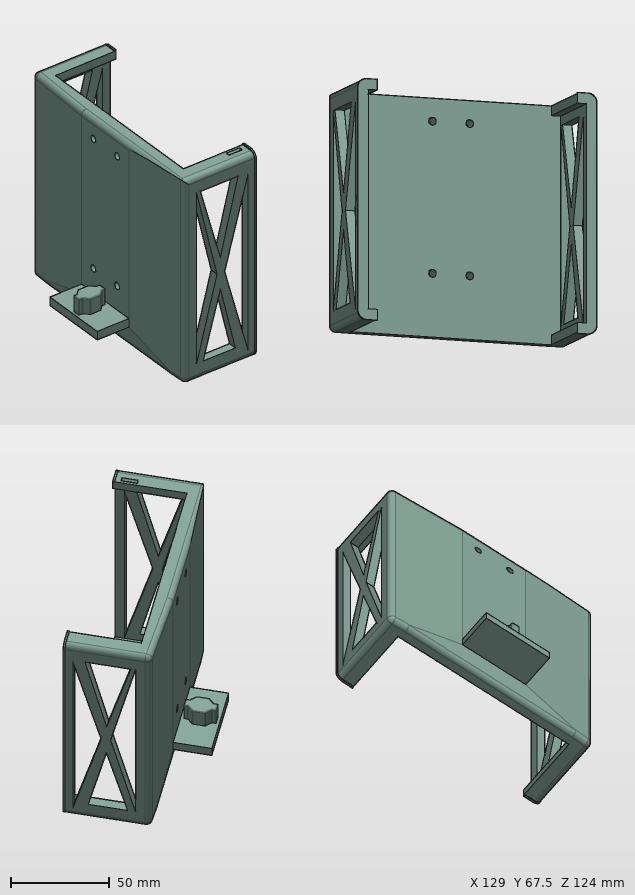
import cadquery as cq

body_width = 128.0
body_height = 123.0
body_depth = 47.5
opening_width = 108.1
opening_depth = 38.5
edge_radius = 3.1

pad_width = 40.0
taper_drop = 2.0
bottom_edge_half_width = 62.0
pad_bottom = 13.0

lip_overhang = 0.5
lip_length = 1.0
lip_corner_radius = 4.6

arm_wall = 5.0
rail_height = 5.0

window_back = 5.0
window_front = 37.5
window_margin = 9.9
window_top = body_height - window_margin
windows = [
    [(window_back, 111.7), (window_back, 5.4), (19.7, 58.7)],
    [(window_front, window_top), (window_front, window_margin), (24.6, 59.1)],
    [(11.4, window_top), (35.1, window_top), (22.6, 68.4)],
    [(13.0, window_margin), (33.4, window_margin), (22.5, 49.1)],
]

plate_length = 20.0
plate_thickness = 5.2
key_height = 9.5
key_half_width = 5.3
key_flat_half_length = 3.2
key_tab_half_width = 2.3
key_half_length = 8.4
key_edge_radius = 0.5

hole_diameter = 4.0
hole_spacing_x = 20.1
hole_spacing_z = 78.3
hole_bottom_z = 32.8

groove_x = 56.6
groove_start = 4.0
groove_length = 8.4
groove_radius = 1.0

half_width = body_width / 2
pad_half_width = pad_width / 2
pad_y = -body_depth
side_y = pad_y + taper_drop
bottom_drop = taper_drop * (bottom_edge_half_width - pad_half_width) / (half_width - pad_half_width)
recess_half_width = half_width - arm_wall
recess_height = body_height - 2 * rail_height
plate_center_y = pad_y - plate_length / 2
plate_top = pad_bottom + plate_thickness


def extrude_outline(right_side_y):
    """Block whose left side tapers back and whose right side ends at the given Y."""
    outline = [
        (-half_width, 0),
        (-half_width, side_y),
        (-pad_half_width, pad_y),
        (pad_half_width, pad_y),
        (half_width, right_side_y),
        (half_width, 0),
    ]
    return cq.Workplane("XY").polyline(outline).close().extrude(body_height)


def make_body():
    """Solid block with the tapered outer face and rounded outer edges."""
    bottom_taper = (
        cq.Workplane("YZ")
        .polyline([(pad_y, pad_bottom), (pad_y + bottom_drop, 0), (pad_y, 0)])
        .close()
        .extrude(half_width, both=True)
    )
    tapered = extrude_outline(side_y).cut(bottom_taper)
    bottom_edges = tapered.faces("<Z").edges("not >Y")
    corner_edges = tapered.edges("|Z").edges("<X or >X").edges("<Y")
    tapered = bottom_edges.add(corner_edges).fillet(edge_radius)

    straight = extrude_outline(pad_y)
    top_edges = straight.faces(">Z").edges("not >Y")
    left_corner_edge = straight.edges("|Z").edges("<X").edges("<Y")
    straight = top_edges.add(left_corner_edge).fillet(edge_radius)
    return tapered.intersect(straight)


def make_lip():
    """Flange around the free end, wider and taller than the body by the overhang."""
    lip_width = body_width + 2 * lip_overhang
    lip_height = body_height + 2 * lip_overhang
    return (
        cq.Workplane("XZ")
        .center(0, body_height / 2)
        .rect(lip_width, lip_height)
        .extrude(lip_length)
        .edges("|Y")
        .fillet(lip_corner_radius)
    )


def make_opening():
    """Space between the arms, open at the free end, the top and the bottom."""
    passage = (
        cq.Workplane("XY", origin=(0, 0, -lip_overhang))
        .rect(opening_width, 2 * opening_depth)
        .extrude(body_height + 2 * lip_overhang)
    )
    recess = (
        cq.Workplane("XY", origin=(0, 0, rail_height))
        .rect(2 * recess_half_width, 2 * opening_depth)
        .extrude(recess_height)
    )
    return passage.union(recess)


def make_windows():
    """Triangular prisms that run across both arms, leaving crossed struts."""
    prisms = cq.Workplane("YZ")
    for corners in windows:
        points = [(-distance, height) for distance, height in corners]
        prisms = prisms.polyline(points).close()
    return prisms.extrude(half_width, both=True)


def make_plate():
    """Mounting plate standing out from the bottom of the pad."""
    return (
        cq.Workplane("XY", origin=(0, plate_center_y, pad_bottom))
        .rect(pad_width, plate_length)
        .extrude(plate_thickness)
    )


def make_key():
    """Octagonal key with a tab at each end and rounded upright and upper edges."""
    shoulder = key_flat_half_length + key_half_width - key_tab_half_width
    quarter = [
        (key_half_width, key_flat_half_length),
        (key_tab_half_width, shoulder),
        (key_tab_half_width, key_half_length),
    ]
    mirrored = [(-x, y) for x, y in reversed(quarter)]
    upper = quarter + mirrored
    lower = [(-x, -y) for x, y in upper]
    return (
        cq.Workplane("XY", origin=(0, plate_center_y, plate_top))
        .polyline(upper + lower)
        .close()
        .extrude(key_height)
        .edges("|Z or >Z")
        .fillet(key_edge_radius)
    )


def make_screw_holes():
    """Four holes straight through the pad."""
    return (
        cq.Workplane("XZ", origin=(0, 0, hole_bottom_z + hole_spacing_z / 2))
        .rect(hole_spacing_x, hole_spacing_z, forConstruction=True)
        .vertices()
        .circle(hole_diameter / 2)
        .extrude(body_depth)
    )


def make_groove():
    """Lying cylinder with its axis in the top face of the right arm."""
    return (
        cq.Workplane("XZ", origin=(groove_x, -groove_start, body_height))
        .circle(groove_radius)
        .extrude(groove_length)
    )


result = (
    make_body()
    .union(make_lip())
    .cut(make_opening())
    .cut(make_windows())
    .cut(make_screw_holes())
    .cut(make_groove())
    .union(make_plate())
    .union(make_key())
)